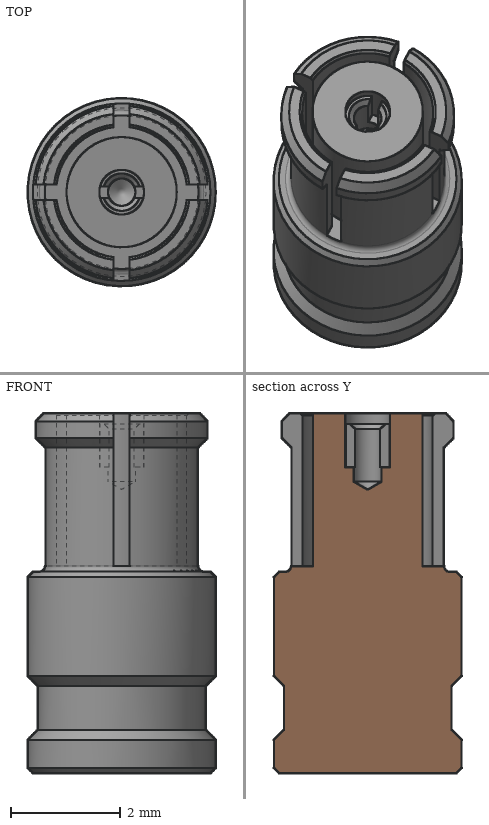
import cadquery as cq

height = 6.6
body_radius = 1.726

base_chamfer = 0.1
groove_radius = 1.545
groove_taper = body_radius - groove_radius
collar_top = 0.615
barrel_bottom = 1.78
barrel_top = 3.695
barrel_chamfer = 0.1

sleeve_radius = 1.405
sleeve_fillet = 0.1
rim_radius = 1.585
rim_lower_edge = 6.145
rim_upper_edge = 6.45
rim_top_radius = 1.44
bore_radius = 1.2
bore_chamfer = 0.045
slot_width = 0.29
slot_floor = barrel_top + sleeve_fillet

insulator_radius = 1.01
insulator_top = height
contact_radius = 0.41
contact_recess = 0.2
contact_top = insulator_top - contact_recess
countersink_radius = 0.34
socket_radius = 0.25
countersink_depth = countersink_radius - socket_radius
socket_depth = 1.055
socket_tip_depth = 0.145
contact_slot_width = 0.205
contact_slot_depth = 0.79


def make_body():
    """Revolve the outer profile, with a concave fillet at the sleeve foot."""
    fillet_mid = sleeve_fillet * (1 - 0.5 ** 0.5)
    return (
        cq.Workplane("XZ")
        .moveTo(0, 0)
        .lineTo(body_radius - base_chamfer, 0)
        .lineTo(body_radius, base_chamfer)
        .lineTo(body_radius, collar_top)
        .lineTo(groove_radius, collar_top + groove_taper)
        .lineTo(groove_radius, barrel_bottom - groove_taper)
        .lineTo(body_radius, barrel_bottom)
        .lineTo(body_radius, barrel_top - barrel_chamfer)
        .lineTo(body_radius - barrel_chamfer, barrel_top)
        .lineTo(sleeve_radius + sleeve_fillet, barrel_top)
        .threePointArc(
            (sleeve_radius + fillet_mid, barrel_top + fillet_mid),
            (sleeve_radius, slot_floor),
        )
        .lineTo(sleeve_radius, rim_lower_edge - (rim_radius - sleeve_radius))
        .lineTo(rim_radius, rim_lower_edge)
        .lineTo(rim_radius, rim_upper_edge)
        .lineTo(rim_top_radius, height)
        .lineTo(0, height)
        .close()
        .revolve(360, (0, 0, 0), (0, 1, 0))
    )


def make_sleeve_bore():
    """Bore the sleeve down to the slot floor and chamfer its mouth."""
    return (
        cq.Workplane("XZ")
        .moveTo(0, slot_floor)
        .lineTo(bore_radius, slot_floor)
        .lineTo(bore_radius, height - bore_chamfer)
        .lineTo(bore_radius + bore_chamfer, height)
        .lineTo(0, height)
        .close()
        .revolve(360, (0, 0, 0), (0, 1, 0))
    )


def make_slots():
    """Two crossing slots that split the sleeve into four fingers."""
    slot = cq.Workplane("XY").workplane(offset=slot_floor).rect(2 * body_radius, slot_width)
    slot = slot.extrude(height - slot_floor)
    return slot.union(slot.rotate((0, 0, 0), (0, 0, 1), 90))


def make_insulator():
    """Solid core that fills the middle of the sleeve."""
    core = cq.Workplane("XY").workplane(offset=slot_floor).circle(insulator_radius)
    return core.extrude(insulator_top - slot_floor)


def make_contact_hole():
    """Hole that holds the contact jaws, continued by the socket and its conical end."""
    socket_bottom = contact_top - socket_depth
    return (
        cq.Workplane("XZ")
        .moveTo(0, socket_bottom - socket_tip_depth)
        .lineTo(socket_radius, socket_bottom)
        .lineTo(socket_radius, contact_top - contact_slot_depth)
        .lineTo(contact_radius, contact_top - contact_slot_depth)
        .lineTo(contact_radius, insulator_top)
        .lineTo(0, insulator_top)
        .close()
        .revolve(360, (0, 0, 0), (0, 1, 0))
    )


def make_contact_jaws():
    """Countersunk contact ring, split into two jaws by a slot along X."""
    jaw_bottom = contact_top - contact_slot_depth
    ring = (
        cq.Workplane("XZ")
        .moveTo(socket_radius, jaw_bottom)
        .lineTo(socket_radius, contact_top - countersink_depth)
        .lineTo(countersink_radius, contact_top)
        .lineTo(contact_radius, contact_top)
        .lineTo(contact_radius, jaw_bottom)
        .close()
        .revolve(360, (0, 0, 0), (0, 1, 0))
    )
    slot = cq.Workplane("XY").workplane(offset=jaw_bottom)
    slot = slot.rect(4 * contact_radius, contact_slot_width).extrude(contact_slot_depth)
    return ring.cut(slot)


sleeve = make_body().cut(make_sleeve_bore()).cut(make_slots())
result = sleeve.union(make_insulator()).cut(make_contact_hole()).union(make_contact_jaws())